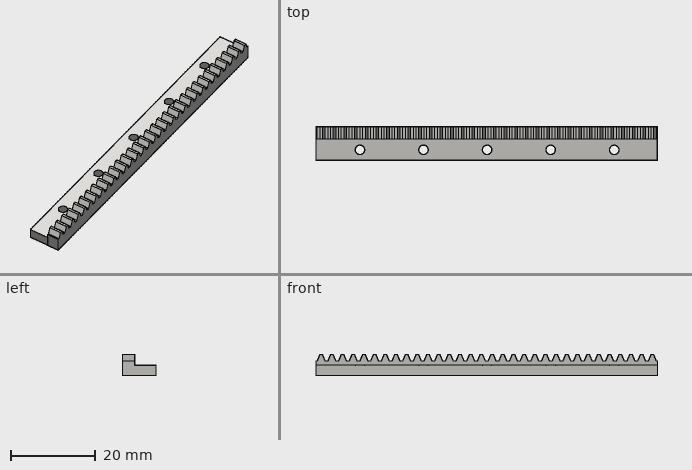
import cadquery as cq

length = 80.6
width = 8.0
height = 5.0

bar_width = 3.0
tooth_count = 32
tooth_pitch = length / tooth_count
tip_width = tooth_pitch / 4
flank_run = tooth_pitch / 4
tooth_depth = 0.6 * tooth_pitch
root_height = height - tooth_depth

flange_length = 80.55
flange_height = 2.5

hole_diameter = 2.2
hole_count = 5
hole_spacing = 15.0
first_hole_from_left = 10.4
hole_from_front = 2.5


def tooth_points(centre):
    """Corners of one tooth, from its left foot to its right foot."""
    half_tip = tip_width / 2
    half_base = half_tip + flank_run
    return [
        (centre - half_base, root_height),
        (centre - half_tip, height),
        (centre + half_tip, height),
        (centre + half_base, root_height),
    ]


def make_toothed_bar():
    """Full-height bar: the rack profile in XZ, extruded forward from the back face."""
    outline = [(0, 0), (0, root_height)]
    for index in range(tooth_count):
        outline += tooth_points((index + 0.5) * tooth_pitch)
    outline += [(length, root_height), (length, 0)]
    back_plane = cq.Workplane("XZ", origin=(0, width, 0))
    return back_plane.polyline(outline).close().extrude(bar_width)


def make_flange():
    """Flat strip that reaches under the teeth to the back face, so it merges with the bar."""
    return cq.Workplane("XY").box(flange_length, width, flange_height, centered=False)


def make_holes():
    """Cylinders that cut the through holes."""
    centres = [(first_hole_from_left + index * hole_spacing, hole_from_front) for index in range(hole_count)]
    return cq.Workplane("XY").pushPoints(centres).circle(hole_diameter / 2).extrude(flange_height)


result = make_toothed_bar().union(make_flange()).cut(make_holes())